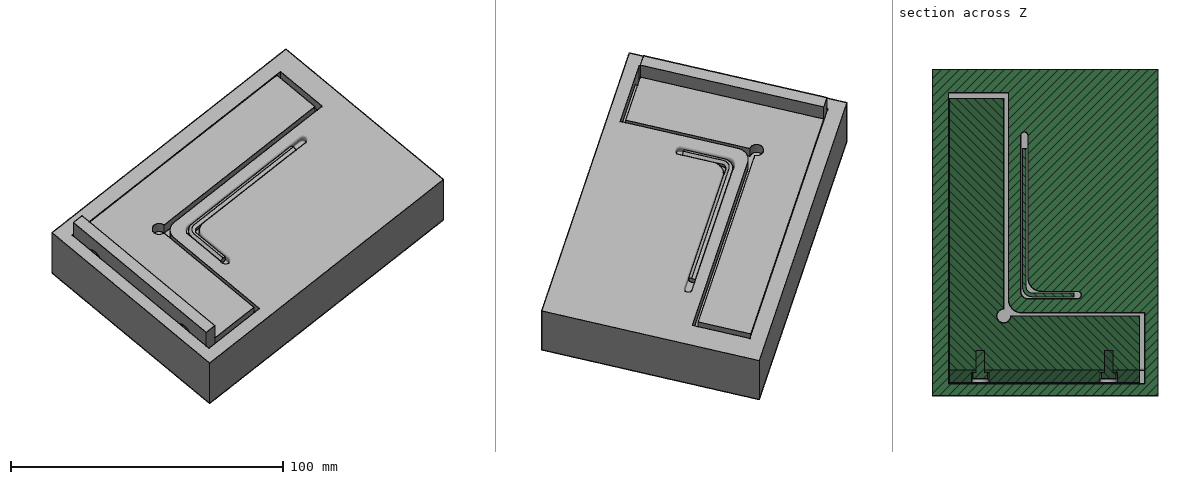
import cadquery as cq
import math

CASE_WIDTH = 83.0
CASE_LENGTH = 120.0
CASE_HEIGHT = 25.1

SQUARE_X = 6.2
STOCK_Y = 4.9
STOCK_WIDTH = 70.0
STOCK_THICKNESS = 4.5
STOCK_TOP = 32.8
PLATE_TOP = 25.1
PLATE_THICKNESS = 5.0
PLATE_LENGTH = 100.0
LEG_WIDTH = 20.0
RELIEF_RADIUS = 2.5

PLATE_BOTTOM = PLATE_TOP - PLATE_THICKNESS
PLATE_MID_Z = PLATE_TOP - PLATE_THICKNESS / 2
PLATE_Y = STOCK_Y + STOCK_THICKNESS
STOCK_BOTTOM = 2 * PLATE_MID_Z - STOCK_TOP

SCREW_INSET = 11.4
SCREW_HEAD_RADIUS = 2.8
SCREW_HEAD_HEIGHT = 2.3
SCREW_SHANK_RADIUS = 1.5
SCREW_REACH = 7.2
COUNTERBORE_RADIUS = 3.1
COUNTERBORE_DEPTH = 3.6
SCREW_XS = [SQUARE_X + SCREW_INSET, SQUARE_X + STOCK_WIDTH - SCREW_INSET]

POCKET_MARGIN_X = 0.2
POCKET_MARGIN_Y = 0.4
POCKET_WIDTH = 72.0
POCKET_LENGTH = 106.8
POCKET_LONG_LEG = 22.0
POCKET_SHORT_LEG = 25.9
POCKET_CORNER_RADIUS = 5.0
TRENCH_EDGE_RADIUS = 0.8
POCKET_X = SQUARE_X - POCKET_MARGIN_X
POCKET_Y = STOCK_Y - POCKET_MARGIN_Y

KEY_SIDES = 6
KEY_FLATS = 2.5
KEY_X = 33.8
KEY_Y = 37.1
KEY_BEND_RADIUS = 3.0
KEY_LONG_END = 91.0
KEY_SHORT_END = 52.1
KEY_CLEARANCE = 0.04
GROOVE_FLOOR = 22.1
GROOVE_ROOT = 0.2
GROOVE_LIP = 1.2
GROOVE_LONG_END = 97.0
GROOVE_SHORT_END = 54.7
GROOVE_BEND_OUTER = 2.5
GROOVE_BEND_INNER = 5.0
KEY_CORNER_RADIUS = KEY_FLATS / 2 / math.cos(math.pi / KEY_SIDES)
GROOVE_WIDTH = KEY_FLATS + 2 * KEY_CLEARANCE
KEY_Z = GROOVE_FLOOR + KEY_CORNER_RADIUS

QUARTER_TURN_SAGITTA = 1 - math.sqrt(0.5)


def box(x, y, z, width, length, height):
    return cq.Workplane("XY").box(width, length, height, centered=False).translate((x, y, z))


def ell(x, y, z, width, length, long_leg, short_leg, height):
    """L-shaped block: long leg along Y, short leg along X, corner at (x, y)."""
    long_part = box(x, y, z, long_leg, length, height)
    return long_part.union(box(x, y, z, width, short_leg, height))


def rod_along_y(x, start_y, radius, length):
    """Cylinder at the plate's mid height that runs from start_y toward +Y."""
    return cq.Workplane("XZ", origin=(x, start_y, PLATE_MID_Z)).circle(radius).extrude(-length)


def make_screw(x):
    """Screw whose head seats in the bar's counterbore and whose shank ends in the plate."""
    shoulder_y = STOCK_Y + COUNTERBORE_DEPTH
    head = rod_along_y(x, shoulder_y - SCREW_HEAD_HEIGHT, SCREW_HEAD_RADIUS, SCREW_HEAD_HEIGHT)
    shank = rod_along_y(x, shoulder_y, SCREW_SHANK_RADIUS, PLATE_Y + SCREW_REACH - shoulder_y)
    return head.union(shank)


def make_plate():
    """L-shaped plate with a relieved inner corner and a hole for each screw."""
    plate = ell(
        SQUARE_X, PLATE_Y, PLATE_BOTTOM,
        STOCK_WIDTH, PLATE_LENGTH, LEG_WIDTH, LEG_WIDTH, PLATE_THICKNESS,
    )
    relief = (
        cq.Workplane("XY", origin=(SQUARE_X + LEG_WIDTH, PLATE_Y + LEG_WIDTH, PLATE_BOTTOM))
        .circle(RELIEF_RADIUS)
        .extrude(PLATE_THICKNESS)
    )
    plate = plate.cut(relief)
    for x in SCREW_XS:
        plate = plate.cut(make_screw(x))
    return plate


def make_stock():
    """Bar along the plate's front edge, counterbored for the screws."""
    stock = box(
        SQUARE_X, STOCK_Y, STOCK_BOTTOM,
        STOCK_WIDTH, STOCK_THICKNESS, STOCK_TOP - STOCK_BOTTOM,
    )
    for x in SCREW_XS:
        counterbore = rod_along_y(x, STOCK_Y, COUNTERBORE_RADIUS, COUNTERBORE_DEPTH)
        stock = stock.cut(counterbore).cut(make_screw(x))
    return stock


def groove_cutter():
    """L-shaped slot for the hex key, with round ends, filleted bends and a rounded root."""
    half = GROOVE_WIDTH / 2
    left = KEY_X - half
    right = KEY_X + half
    bottom = KEY_Y - half
    upper = KEY_Y + half

    def bend(radius, x, y):
        """Middle and end of the bend that leads from the short arm to the long one."""
        sagitta = radius * QUARTER_TURN_SAGITTA
        mid = (x + sagitta, y + sagitta)
        return mid, (x, y + radius)

    outer_mid, outer_end = bend(GROOVE_BEND_OUTER, left, bottom)
    inner_mid, inner_end = bend(GROOVE_BEND_INNER, right, upper)
    return (
        cq.Workplane("XY", origin=(0, 0, GROOVE_FLOOR))
        .moveTo(*outer_end)
        .lineTo(left, GROOVE_LONG_END - half)
        .threePointArc((KEY_X, GROOVE_LONG_END), (right, GROOVE_LONG_END - half))
        .lineTo(*inner_end)
        .threePointArc(inner_mid, (right + GROOVE_BEND_INNER, upper))
        .lineTo(GROOVE_SHORT_END - half, upper)
        .threePointArc((GROOVE_SHORT_END, KEY_Y), (GROOVE_SHORT_END - half, bottom))
        .lineTo(left + GROOVE_BEND_OUTER, bottom)
        .threePointArc(outer_mid, outer_end)
        .close()
        .extrude(CASE_HEIGHT - GROOVE_FLOOR)
        .faces("<Z")
        .edges()
        .fillet(GROOVE_ROOT)
    )


def make_case():
    """Block with the key groove, the square's pocket and a deeper trench for the bar."""
    case = box(0, 0, 0, CASE_WIDTH, CASE_LENGTH, CASE_HEIGHT)
    case = case.cut(groove_cutter())
    groove_lip = case.faces(">Z").val().innerWires()[0].Edges()
    case = case.newObject(groove_lip).fillet(GROOVE_LIP)

    pocket = ell(
        POCKET_X, POCKET_Y, PLATE_BOTTOM,
        POCKET_WIDTH, POCKET_LENGTH, POCKET_LONG_LEG, POCKET_SHORT_LEG,
        CASE_HEIGHT - PLATE_BOTTOM,
    )
    inner_corner = cq.selectors.NearestToPointSelector(
        (POCKET_X + POCKET_LONG_LEG, POCKET_Y + POCKET_SHORT_LEG, (CASE_HEIGHT + PLATE_BOTTOM) / 2)
    )
    pocket = pocket.edges("|Z").edges(inner_corner).fillet(POCKET_CORNER_RADIUS)
    case = case.cut(pocket)

    trench = box(
        POCKET_X, POCKET_Y, STOCK_BOTTOM,
        POCKET_WIDTH, PLATE_Y - POCKET_Y, PLATE_BOTTOM - STOCK_BOTTOM,
    )
    case = case.cut(trench)
    trench_edge = cq.selectors.NearestToPointSelector(
        (POCKET_X + POCKET_WIDTH / 2, PLATE_Y, PLATE_BOTTOM)
    )
    return case.edges("|X").edges(trench_edge).fillet(TRENCH_EDGE_RADIUS)


def make_hex_key():
    """Hexagonal bar bent to an L, lying with one corner up."""
    bend_mid_offset = KEY_BEND_RADIUS * QUARTER_TURN_SAGITTA
    path = (
        cq.Workplane("XY", origin=(0, 0, KEY_Z))
        .moveTo(KEY_X, KEY_LONG_END)
        .lineTo(KEY_X, KEY_Y + KEY_BEND_RADIUS)
        .threePointArc(
            (KEY_X + bend_mid_offset, KEY_Y + bend_mid_offset),
            (KEY_X + KEY_BEND_RADIUS, KEY_Y),
        )
        .lineTo(KEY_SHORT_END, KEY_Y)
    )
    section = []
    for corner in range(KEY_SIDES):
        angle = corner * 2 * math.pi / KEY_SIDES
        section.append((KEY_CORNER_RADIUS * math.sin(angle), KEY_CORNER_RADIUS * math.cos(angle)))
    return (
        cq.Workplane("XZ", origin=(KEY_X, KEY_LONG_END, KEY_Z))
        .polyline(section)
        .close()
        .sweep(path)
    )


case = make_case()
plate = make_plate()
stock = make_stock()
hex_key = make_hex_key()
screws = [make_screw(x) for x in SCREW_XS]

result = cq.Compound.makeCompound(
    [case.val(), plate.val(), stock.val(), hex_key.val(), *[screw.val() for screw in screws]]
)